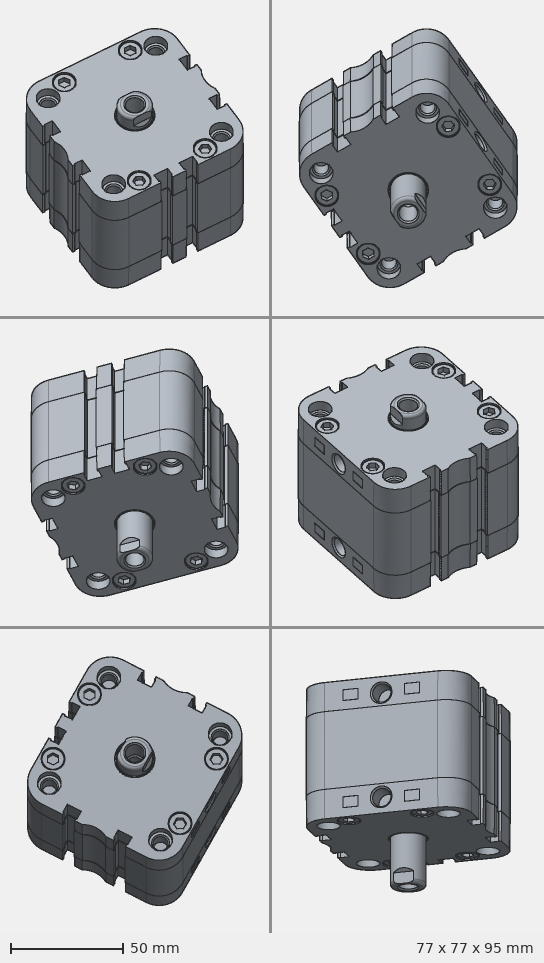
import cadquery as cq


BODY_SIDE = 77.0
BODY_HEIGHT = 64.0
CAP_HEIGHT = 13.8
BARREL_HEIGHT = BODY_HEIGHT - 2 * CAP_HEIGHT
CORNER_RADIUS = 12.0
CAP_DRAFT = 0.6

SLOT_WIDTH = 6.5
SLOT_NECK_WIDTH = 5.5
SLOT_DEPTH = 5.1
SLOT_LIP = 1.7
SLOT_OFFSET_Y_FACES = 12.8
SLOT_OFFSET_X_FACE = 6.6
HOLLOW_HALF_WIDTH = 5.9
HOLLOW_DEPTH = 1.4
CAP_GROOVE_CLEARANCE = 0.3

MOUNT_OFFSET = 28.1
MOUNT_COUNTERBORE_DIAMETER = 10.5
MOUNT_COUNTERBORE_DEPTH = 5.0
MOUNT_HOLE_DIAMETER = 6.65
MOUNT_COUNTERSINK_DIAMETER = 8.0

SCREW_X = 32.1
SCREW_Y = 17.2
SCREW_RECESS_DIAMETER = 10.5
SCREW_RECESS_DEPTH = 0.95
SCREW_HEAD_DIAMETER = 9.8
SCREW_HEAD_DROP = 0.5
SOCKET_ACROSS_FLATS = 4.9
SOCKET_DEPTH = 2.85
RIGHT_SOCKET_TURN = 30

PORT_DROP = 7.5
PORT_DIAMETER = 8.55
PORT_MOUTH_DIAMETER = 10.3
PORT_DEPTH = 10.0
LABEL_OFFSET = 14.4
LABEL_LENGTH = 7.1
LABEL_WIDTH = 5.0
LABEL_DEPTH = 0.2

LIP_INNER_DIAMETER = 16.5
LIP_OUTER_DIAMETER = 17.7
LIP_SEAT_DIAMETER = 18.0
LIP_HEIGHT = 0.95

ROD_DIAMETER = 16.0
ROD_TOP_LENGTH = 8.0
ROD_BOTTOM_LENGTH = 23.0
ROD_END_RADIUS = 1.6
FLATS_WIDTH = 12.9
FLATS_LENGTH = 5.3
ROD_BORE_DIAMETER = 6.65
ROD_THREAD_DIAMETER = 8.4
ROD_THREAD_MOUTH_DIAMETER = 9.8
ROD_THREAD_DEPTH = 15.0

HALF_SIDE = BODY_SIDE / 2
HALF_BODY = BODY_HEIGHT / 2
HALF_BARREL = BARREL_HEIGHT / 2


def slot_cutter(clearance):
    """Cutter for a T-slot in the -Y face, widened and deepened by a clearance."""
    neck = SLOT_NECK_WIDTH / 2 + clearance
    wide = SLOT_WIDTH / 2 + clearance
    lip_back = -HALF_SIDE + SLOT_LIP - clearance
    floor = -HALF_SIDE + SLOT_DEPTH + clearance
    profile = [
        (-neck, -HALF_SIDE),
        (-neck, lip_back),
        (-wide, lip_back),
        (-wide, floor),
        (wide, floor),
        (wide, lip_back),
        (neck, lip_back),
        (neck, -HALF_SIDE),
    ]
    return cq.Workplane("XY").polyline(profile).close().extrude(HALF_BODY, both=True)


def hollow_cutter(clearance):
    """Cutter for the shallow arc-shaped hollow in the -Y face, enlarged by a clearance."""
    half_width = HOLLOW_HALF_WIDTH + clearance
    profile = (
        cq.Workplane("XY")
        .moveTo(-half_width, -HALF_SIDE)
        .threePointArc((0, -HALF_SIDE + HOLLOW_DEPTH + clearance), (half_width, -HALF_SIDE))
        .close()
    )
    return profile.extrude(HALF_BODY, both=True)


def turned(shape, angle):
    """The shape turned about the Z axis."""
    return shape.rotate((0, 0, 0), (0, 0, 1), angle)


def cut_profile_grooves(block, clearance):
    """Cut the slots and hollows of the -Y, +X and +Y faces into a block."""
    slot = slot_cutter(clearance)
    for side in (-1, 1):
        y_face_slot = slot.translate((side * SLOT_OFFSET_Y_FACES, 0, 0))
        x_face_slot = slot.translate((side * SLOT_OFFSET_X_FACE, 0, 0))
        block = block.cut(y_face_slot)
        block = block.cut(turned(x_face_slot, 90))
        block = block.cut(turned(y_face_slot, 180))
    hollow = hollow_cutter(clearance)
    return block.cut(hollow).cut(turned(hollow, 180))


def rounded_square(bottom):
    """Outline of the body without its grooves, at a height."""
    outline = cq.Sketch().rect(BODY_SIDE, BODY_SIDE).vertices().fillet(CORNER_RADIUS)
    return cq.Workplane("XY").workplane(offset=bottom).placeSketch(outline)


def cylinder(diameter, bottom, top):
    """Upright cylinder on the rod axis between two heights."""
    plane = cq.Workplane("XY").workplane(offset=bottom)
    return plane.circle(diameter / 2).extrude(top - bottom)


def cone(large_diameter, small_diameter, top):
    """Downward-pointing 45 degree countersink with its large end at a height."""
    depth = (large_diameter - small_diameter) / 2
    solid = cq.Solid.makeCone(
        large_diameter / 2, small_diameter / 2, depth, pnt=(0, 0, top), dir=(0, 0, -1)
    )
    return cq.Workplane(solid)


def make_barrel():
    block = rounded_square(-HALF_BARREL).extrude(BARREL_HEIGHT)
    barrel = cut_profile_grooves(block, 0)
    return barrel.cut(cylinder(ROD_DIAMETER, -HALF_BARREL, HALF_BARREL))


def mounting_hole():
    """Cutter for a counterbored hole that goes through a cap."""
    seat = HALF_BODY - MOUNT_COUNTERBORE_DEPTH
    cutter = cylinder(MOUNT_HOLE_DIAMETER, HALF_BARREL, HALF_BODY)
    cutter = cutter.union(cylinder(MOUNT_COUNTERBORE_DIAMETER, seat, HALF_BODY))
    return cutter.union(cone(MOUNT_COUNTERSINK_DIAMETER, MOUNT_HOLE_DIAMETER, seat))


def screw_recess(socket_turn):
    """Cutter that leaves a sunk screw head with a hexagon socket."""
    head_top = HALF_BODY - SCREW_HEAD_DROP
    floor = HALF_BODY - SCREW_RECESS_DEPTH
    socket = (
        cq.Workplane("XY")
        .workplane(offset=head_top - SOCKET_DEPTH)
        .polygon(6, SOCKET_ACROSS_FLATS, circumscribed=True)
        .extrude(SOCKET_DEPTH)
    )
    cutter = cylinder(SCREW_RECESS_DIAMETER, floor, HALF_BODY)
    cutter = cutter.cut(cylinder(SCREW_HEAD_DIAMETER, floor, head_top))
    return cutter.union(turned(socket, socket_turn))


def port():
    """Cutter for the blind air port with its chamfered mouth."""
    mouth_chamfer = (PORT_MOUTH_DIAMETER - PORT_DIAMETER) / 2
    floor = -HALF_SIDE + PORT_DEPTH
    profile = [
        (-HALF_SIDE, 0),
        (-HALF_SIDE, PORT_MOUTH_DIAMETER / 2),
        (-HALF_SIDE + mouth_chamfer, PORT_DIAMETER / 2),
        (floor, PORT_DIAMETER / 2),
        (floor, 0),
    ]
    cutter = cq.Workplane("XY").polyline(profile).close()
    cutter = cutter.revolve(360, (0, 0, 0), (1, 0, 0))
    return cutter.translate((0, 0, HALF_BODY - PORT_DROP))


def label_recess():
    """Cutter for a shallow label recess at mid-height of the cap."""
    label_middle = HALF_BODY - CAP_HEIGHT / 2
    recess = cq.Workplane("XY").box(2 * LABEL_DEPTH, LABEL_LENGTH, LABEL_WIDTH)
    return recess.translate((-HALF_SIDE, 0, label_middle))


def rod_passage():
    """Cutter for the rod bore, with a wiper lip left standing in a seat around the rod."""
    floor = HALF_BODY - LIP_HEIGHT
    lip = cylinder(LIP_OUTER_DIAMETER, floor, HALF_BODY)
    lip = lip.cut(cylinder(LIP_INNER_DIAMETER, floor, HALF_BODY))
    seat = cylinder(LIP_SEAT_DIAMETER, floor, HALF_BODY).cut(lip)
    return seat.union(cylinder(ROD_DIAMETER, HALF_BARREL, HALF_BODY))


def make_top_cap():
    block = rounded_square(HALF_BARREL).extrude(CAP_HEIGHT, taper=CAP_DRAFT)
    cap = cut_profile_grooves(block, CAP_GROOVE_CLEARANCE)
    for side_x in (-1, 1):
        socket_turn = RIGHT_SOCKET_TURN if side_x > 0 else 0
        for side_y in (-1, 1):
            mount_place = (side_x * MOUNT_OFFSET, side_y * MOUNT_OFFSET, 0)
            screw_place = (side_x * SCREW_X, side_y * SCREW_Y, 0)
            cap = cap.cut(mounting_hole().translate(mount_place))
            cap = cap.cut(screw_recess(socket_turn).translate(screw_place))
    cap = cap.cut(port())
    for side_y in (-1, 1):
        cap = cap.cut(label_recess().translate((0, side_y * LABEL_OFFSET, 0)))
    return cap.cut(rod_passage())


def make_bottom_cap():
    """The top cap turned over about the X axis."""
    return make_top_cap().rotate((0, 0, 0), (1, 0, 0), 180)


def rod_flats():
    """Cutter for the pair of wrench flats at the +Z end of a rod ending at height 0."""
    flat = FLATS_WIDTH / 2
    radius = ROD_DIAMETER / 2
    profile = [
        (flat, 0),
        (flat, -FLATS_LENGTH),
        (radius, -FLATS_LENGTH - (radius - flat)),
        (radius, 0),
    ]
    right = cq.Workplane("XZ").polyline(profile).close().extrude(radius, both=True)
    return right.union(right.mirror("YZ"))


def rod_thread():
    """Cutter for the tapped hole at the +Z end of a rod ending at height 0."""
    cutter = cylinder(ROD_THREAD_DIAMETER, -ROD_THREAD_DEPTH, 0)
    cutter = cutter.union(cone(ROD_THREAD_MOUTH_DIAMETER, ROD_THREAD_DIAMETER, 0))
    return cutter.union(cone(ROD_THREAD_DIAMETER, ROD_BORE_DIAMETER, -ROD_THREAD_DEPTH))


def make_rod():
    top = HALF_BODY + ROD_TOP_LENGTH
    bottom = -HALF_BODY - ROD_BOTTOM_LENGTH
    rod = cylinder(ROD_DIAMETER, bottom, top).edges("%CIRCLE").fillet(ROD_END_RADIUS)
    rod = rod.cut(cylinder(ROD_BORE_DIAMETER, bottom, top))
    end_cutter = rod_flats().union(rod_thread())
    rod = rod.cut(end_cutter.translate((0, 0, top)))
    return rod.cut(end_cutter.mirror("XY").translate((0, 0, bottom)))


barrel = make_barrel()
top_cap = make_top_cap()
bottom_cap = make_bottom_cap()
rod = make_rod()

result = cq.Compound.makeCompound([barrel.val(), top_cap.val(), bottom_cap.val(), rod.val()])